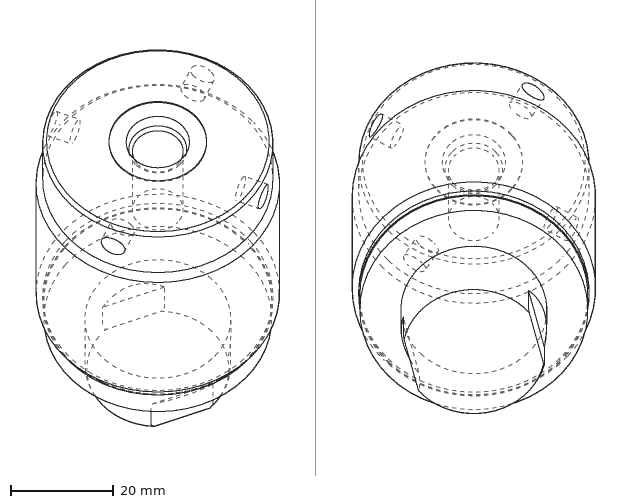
import cadquery as cq
import math

total_height = 76.3
stem_height = 16.7
lower_band_top = 22.6
body_bottom = 24.1
body_top = 63.65
spigot_top = 9.85
spigot_step = 0.8

body_radius = 23.8
collar_radius = 22.5
lower_band_radius = 22.3
stem_radius = 14.3
spigot_radius = 14.2

top_chamfer = 0.8
body_lower_chamfer = 1.3
body_shoulder_radius = 23.3
shoulder_step = 0.8
end_chamfer_height = 0.9
end_chamfer_width = 0.3

flat_distance = 12.6
flat_height = 7.8

recess_radius = 9.55
recess_depth = 0.3
entry_radius = 6.2
entry_depth = 2.75
bore_radius = 4.95
bore_seat_radius = 5.65
bore_seat_chamfer = bore_seat_radius - bore_radius
bore_depth = 22.9

hole_count = 4
hole_first_angle = 45.0
hole_diameter = 5.0
hole_height = 70.0
hole_depth = 4.95


def revolve_profile(points):
    """Turn a closed (radius, height) profile about the Z axis."""
    return cq.Workplane("XZ").polyline(points).close().revolve(360, (0, 0, 0), (0, 1, 0))


def turned_body():
    return revolve_profile([
        (0, 0),
        (spigot_radius - end_chamfer_width, 0),
        (spigot_radius, end_chamfer_height),
        (spigot_radius, spigot_top - spigot_step),
        (stem_radius, spigot_top),
        (stem_radius, stem_height),
        (lower_band_radius, stem_height),
        (lower_band_radius, lower_band_top),
        (collar_radius, lower_band_top),
        (collar_radius, body_bottom),
        (body_radius, body_bottom + body_lower_chamfer),
        (body_radius, body_top - 2 * shoulder_step),
        (body_shoulder_radius, body_top - shoulder_step),
        (collar_radius, body_top),
        (collar_radius, total_height - top_chamfer),
        (collar_radius - top_chamfer, total_height),
        (0, total_height),
    ])


def central_bore():
    """Shallow recess, tapered entry and chamfered blind bore, as one cutter."""
    recess_floor = total_height - recess_depth
    entry_floor = total_height - entry_depth
    bore_floor = total_height - bore_depth
    return revolve_profile([
        (0, total_height),
        (recess_radius, total_height),
        (recess_radius, recess_floor),
        (entry_radius, recess_floor),
        (bore_seat_radius, entry_floor),
        (bore_radius, entry_floor - bore_seat_chamfer),
        (bore_radius, bore_floor),
        (0, bore_floor),
    ])


def spanner_hole(angle):
    """Cutter running radially inward from the collar surface."""
    direction = cq.Vector(math.cos(math.radians(angle)), math.sin(math.radians(angle)), 0)
    inner_end = direction * (collar_radius - hole_depth) + cq.Vector(0, 0, hole_height)
    return cq.Workplane(cq.Solid.makeCylinder(hole_diameter / 2, 2 * hole_depth, inner_end, direction))


def wrench_flat(side):
    """Cutter for one flat, its upper end sloping outward at 45 degrees; side is +1 or -1 along X."""
    slope = stem_radius - flat_distance
    return (
        cq.Workplane("XZ")
        .polyline([
            (side * flat_distance, 0),
            (side * flat_distance, flat_height),
            (side * stem_radius, flat_height + slope),
            (side * stem_radius, 0),
        ])
        .close()
        .extrude(stem_radius, both=True)
    )


result = turned_body().cut(central_bore())
for index in range(hole_count):
    result = result.cut(spanner_hole(hole_first_angle + index * 360 / hole_count))
for side in (-1, 1):
    result = result.cut(wrench_flat(side))